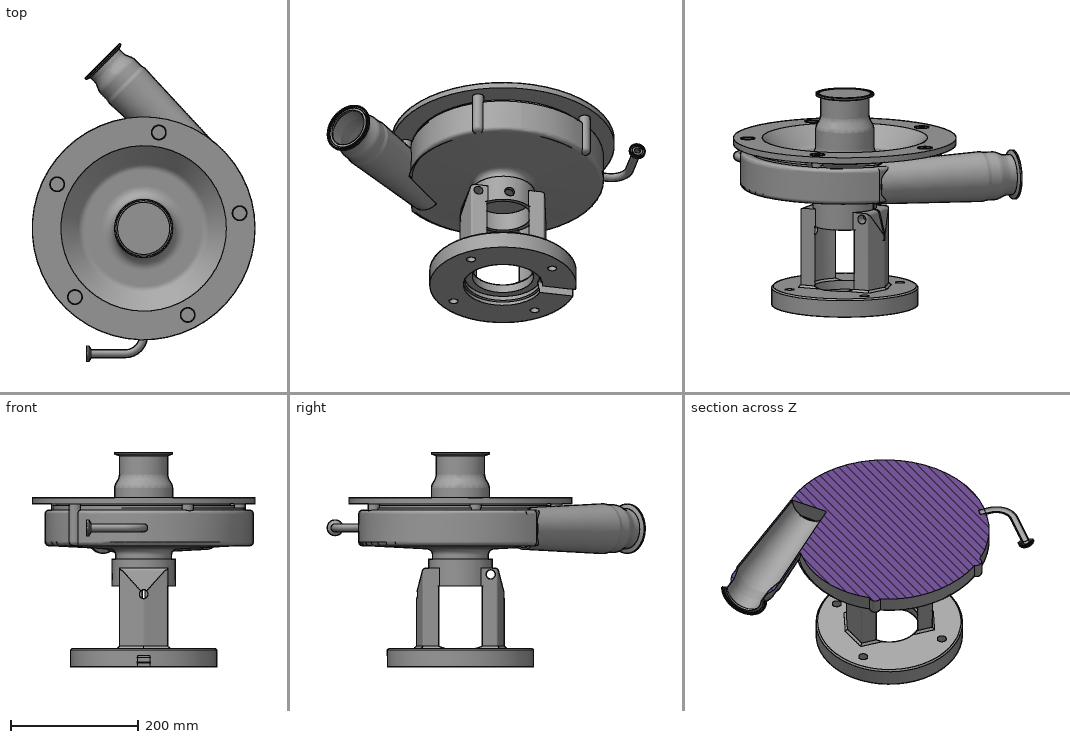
import cadquery as cq
import math


overall_height = 336.65

base_radius = 115.0
base_height = 29.0
base_edge_chamfer = 2.5
base_bore_radius = 48.0
register_radius = 60.0
register_depth = 15.0
entry_radius = 62.0
entry_depth = 5.9
entry_taper = 2.0
base_hole_radius = 7.0
base_hole_circle = 92.0
notch_width = 20.0
notch_height = 18.0
notch_corner = 2.5

leg_half_width = 38.0
leg_shoulder_y = 58.5
leg_ridge_y = 69.3
leg_inner_radius = 51.0
leg_top = 155.0
leg_slope_start = 114.0
leg_slope_top_y = 58.8
leg_side_fillet = 3.0
leg_ridge_fillet = 8.0
leg_top_fillet = 6.5
foot_flare = 3.5
leg_hole_radius = 6.8
leg_hole_z = 114.0

hub_radius = 50.0
hub_bottom = 126.8
hub_top = 169.0
neck_radius = 44.0
spigot_length = 12.0
set_hole_radius = 7.7
set_hole_z = 141.6
clamp_hole_radius = 7.0
clamp_hole_y = 47.5
clamp_hole_z = 145.0
clamp_slit_width = 4.0

drum_radius = 163.5
drum_center = (8.9, 3.8)
drum_left_radius = 143.7
tongue_x = 20.0
drum_bottom = 190.0
drum_top = 246.0
drum_pad_inset = 15.0
drum_pad_top = 249.0
drum_edge_fillet = 6.0
belly_rim_radius = 148.0
belly_radius = 53.0
belly_z = 185.0
neck_straight_top = 175.0

plate_radius = 349.95 / 2
plate_top = 265.5
plate_thickness = 9.7
collar_radius = 142.5
collar_top = 253.3
collar_neck_radius = 136.0

dish_rim_radius = 129.8
dish_floor_z = 233.0
dish_cone_end_radius = 101.6
dish_floor_outer_radius = 91.5
dish_floor_inner_radius = 65.8

bolt_count = 5
bolt_circle = 152.4
first_bolt_angle = 9.0
boss_radius = 9.0
recess_radius = 10.7
recess_depth = 3.0
recess_chamfer = 0.9

inlet_large_radius = 45.7
inlet_tube_radius = 38.1
inlet_ferrule_radius = 45.5
inlet_taper_start = 280.3
inlet_taper_end = 301.4

outlet_offset = 140.0
outlet_z = 216.8
outlet_cone_start_radius = 32.5
outlet_cone_end_radius = 39.3
outlet_cone_length = 176.3
outlet_weld_end = 182.3
outlet_large_radius = 37.8
outlet_tube_radius = 31.75
outlet_ferrule_radius = 38.75
outlet_taper_start = 197.3
outlet_taper_end = 217.0
outlet_end = 231.7
outlet_tube_wall = 1.65
outlet_cone_wall = 3.0
outlet_bore_taper_start = 177.5
outlet_bore_taper_end = 204.5

ferrule_rim = 2.85
ferrule_back = 2.6
gasket_groove_inset = 2.0
gasket_groove_width = 2.6
gasket_groove_depth = 1.2

drain_z = 218.2
drain_y = -196.7
drain_end_x = -89.8
drain_bend_radius = 29.0
drain_root_y = -150.0
drain_pipe_radius = 6.35
drain_bore_radius = 4.7
drain_ferrule_radius = 12.5
drain_ferrule_rim = 4.0
drain_ferrule_back = 3.5
drain_groove_radius = 9.5

margin = 1.0


def cylinder(radius, z_low, z_high, center=(0, 0)):
    start = cq.Workplane("XY", origin=(center[0], center[1], z_low))
    return start.circle(radius).extrude(z_high - z_low)


def ring(plane, inner, outer, low, high):
    """Ring about the plane's local Y axis, between two stations on that axis."""
    outline = cq.Workplane(plane).moveTo(inner, low).lineTo(outer, low).lineTo(outer, high).lineTo(inner, high)
    return outline.close().revolve(360, (0, 0), (0, 1))


def spin(outline):
    """Closes a half outline and turns it about its local Y axis."""
    return outline.close().revolve(360, (0, 0), (0, 1))


def reducer_outline(outline, large, tube, taper_start, taper_end):
    """Continues an outline up a large pipe and through a smooth taper into a tube."""
    outline = outline.lineTo(large, taper_start)
    return outline.spline([(tube, taper_end)], tangents=[(0, 1), (0, 1)], includeCurrent=True)


def ferrule_outline(outline, tube, flange, end):
    """Continues an outline up a tube, around a clamp ferrule and in to the axis."""
    rim_start = end - ferrule_rim
    outline = outline.lineTo(tube, rim_start - ferrule_back)
    return outline.lineTo(flange, rim_start).lineTo(flange, end).lineTo(0, end)


def gasket_groove(plane, flange, end):
    groove_outer = flange - gasket_groove_inset
    groove_inner = groove_outer - gasket_groove_width
    return ring(plane, groove_inner, groove_outer, end - gasket_groove_depth, end + margin)


pump_plane = cq.Plane(origin=(0, 0, 0), xDir=(1, 0, 0), normal=(0, -1, 0))


def make_base():
    base = cylinder(base_radius, 0, base_height).faces(">Z").edges().chamfer(base_edge_chamfer)
    base = base.cut(cylinder(base_bore_radius, -margin, base_height + margin))
    register = spin(
        cq.Workplane(pump_plane)
        .lineTo(entry_radius, 0)
        .lineTo(entry_radius, entry_depth)
        .lineTo(register_radius, entry_depth + entry_taper)
        .lineTo(register_radius, register_depth)
        .lineTo(0, register_depth)
    )
    base = base.cut(register)
    hole_pitch = base_hole_circle / math.sqrt(2)
    holes = cq.Workplane("XY").rect(2 * hole_pitch, 2 * hole_pitch, forConstruction=True).vertices()
    base = base.cut(holes.circle(base_hole_radius).extrude(base_height))
    notch = cq.Workplane("XY").box(notch_width, base_radius, 2 * notch_height)
    notch = notch.edges("|Y and >Z").fillet(notch_corner)
    return base.cut(notch.translate((0, -base_radius, 0)))


def leg_outline(z):
    return (
        cq.Workplane("XY", origin=(0, 0, z))
        .moveTo(-leg_half_width, 0)
        .lineTo(leg_half_width, 0)
        .lineTo(leg_half_width, leg_shoulder_y)
        .lineTo(0, leg_ridge_y)
        .lineTo(-leg_half_width, leg_shoulder_y)
        .close()
    )


def make_leg():
    """Leg on the +Y side: a blunt ridge outside, sloped back to its top edge."""
    post = leg_outline(base_height).extrude(leg_top - base_height)
    post = post.edges("|Z and >Y").fillet(leg_ridge_fillet)
    post = post.edges("|Z and (>X or <X)").fillet(leg_side_fillet)
    side = (
        cq.Workplane("YZ", origin=(-leg_half_width, 0, 0))
        .moveTo(0, base_height)
        .lineTo(leg_ridge_y, base_height)
        .lineTo(leg_ridge_y, leg_slope_start)
        .lineTo(leg_slope_top_y, leg_top)
        .lineTo(0, leg_top)
        .close()
        .extrude(2 * leg_half_width)
        .edges("|X and >Z")
        .edges(">Y")
        .fillet(leg_top_fillet)
    )
    foot = (
        leg_outline(base_height)
        .offset2D(foot_flare, "intersection")
        .extrude(foot_flare, taper=45)
    )
    leg = post.intersect(side).union(foot)
    inside = spin(
        cq.Workplane(pump_plane)
        .moveTo(0, base_height)
        .lineTo(base_bore_radius, base_height)
        .lineTo(leg_inner_radius, base_height + foot_flare)
        .lineTo(leg_inner_radius, hub_bottom)
        .lineTo(0, hub_bottom)
    )
    leg = leg.cut(inside)
    return leg.cut(cq.Workplane("XZ").rect(4 * leg_half_width, 4 * leg_top).extrude(leg_ridge_y))


def make_pedestal():
    pedestal = make_base().union(cylinder(hub_radius, hub_bottom, hub_top))
    leg = make_leg()
    for angle in (0, 180):
        pedestal = pedestal.union(leg.rotate((0, 0, 0), (0, 0, 1), angle))
    pedestal = pedestal.cut(cylinder(neck_radius, base_height, hub_top + margin))

    ridge_hole = cq.Workplane("XZ").center(0, leg_hole_z).circle(leg_hole_radius).extrude(base_radius)
    slit_bottom = leg_hole_z - leg_hole_radius
    slit_height = hub_top + margin - slit_bottom
    slit = cq.Workplane("XY", origin=(0, 0, slit_bottom)).rect(clamp_slit_width, base_radius)
    slit = slit.extrude(slit_height).translate((0, base_radius / 2, 0))
    clamp_hole = cq.Workplane("YZ").center(clamp_hole_y, clamp_hole_z).circle(clamp_hole_radius)
    clamp_hole = clamp_hole.extrude(base_radius, both=True)
    set_hole = cq.Workplane("YZ").center(0, set_hole_z).circle(set_hole_radius).extrude(-base_radius)
    return pedestal.cut(ridge_hole).cut(slit).cut(clamp_hole).cut(set_hole)


def drum_outline(z):
    """Volute outline: a wide arc up to the outlet side, and a tighter arc back to the tongue."""
    center_x, center_y = drum_center
    diagonal = drum_radius * math.sqrt(0.5)
    left = (center_x - drum_radius, center_y)
    outlet_side = (center_x + diagonal, center_y + diagonal)
    wide_middle = (center_x + diagonal, center_y - diagonal)

    left_center_x = left[0] + drum_left_radius
    tongue_angle = math.acos((tongue_x - left_center_x) / drum_left_radius)
    tongue = (tongue_x, center_y + drum_left_radius * math.sin(tongue_angle))
    middle_angle = (tongue_angle + math.pi) / 2
    tight_middle = (
        left_center_x + drum_left_radius * math.cos(middle_angle),
        center_y + drum_left_radius * math.sin(middle_angle),
    )
    return (
        cq.Workplane("XY", origin=(0, 0, z))
        .moveTo(*left)
        .threePointArc(wide_middle, outlet_side)
        .lineTo(*tongue)
        .threePointArc(tight_middle, left)
        .close()
    )


def make_drum():
    drum = drum_outline(drum_bottom).extrude(drum_top - drum_bottom)
    drum = drum.faces("<Z or >Z").edges().fillet(drum_edge_fillet)
    pad = drum_outline(drum_top - margin).offset2D(-drum_pad_inset)
    drum = drum.union(pad.extrude(drum_pad_top - drum_top + margin))
    flare = belly_radius - neck_radius
    flare_middle = (
        belly_radius - flare * math.cos(math.pi / 4),
        belly_z - (belly_z - neck_straight_top) * (1 - math.sin(math.pi / 4)),
    )
    belly = spin(
        cq.Workplane(pump_plane)
        .moveTo(0, hub_top - spigot_length)
        .lineTo(neck_radius, hub_top - spigot_length)
        .lineTo(neck_radius, neck_straight_top)
        .threePointArc(flare_middle, (belly_radius, belly_z))
        .lineTo(belly_rim_radius, drum_bottom)
        .lineTo(belly_rim_radius, drum_bottom + margin)
        .lineTo(0, drum_bottom + margin)
    )
    return drum.union(belly)


def make_cover():
    """Round plate on a collar, with a bolt boss below each shallow recess."""
    plate_bottom = plate_top - plate_thickness
    cover = cylinder(plate_radius, plate_bottom, plate_top)
    cover = cover.union(cylinder(collar_radius, drum_top - margin, collar_top))
    cover = cover.union(cylinder(collar_neck_radius, collar_top - margin, plate_bottom))
    for index in range(bolt_count):
        angle = math.radians(first_bolt_angle + index * 360 / bolt_count)
        place = (bolt_circle * math.cos(angle), bolt_circle * math.sin(angle))
        recess = cylinder(recess_radius, plate_top - recess_depth, plate_top, place)
        rim = cylinder(recess_radius + recess_chamfer, plate_top - recess_chamfer, plate_top, place)
        rim = rim.faces("<Z").edges().chamfer(recess_chamfer * 0.99)
        boss = cylinder(boss_radius, drum_bottom, plate_bottom, place)
        cover = cover.union(boss.faces("<Z").edges().fillet(drum_edge_fillet))
        cover = cover.cut(recess).cut(rim)
    return cover


def dish_cavity():
    """Bowl sunk into the plate around the inlet, rounded into its floor and the inlet."""
    cone_end_z = plate_top - (dish_rim_radius - dish_cone_end_radius)
    inner_fillet = dish_floor_inner_radius - inlet_large_radius
    fillet_top = dish_floor_z + inner_fillet
    diagonal = inner_fillet * math.sqrt(0.5)
    fillet_middle = (dish_floor_inner_radius - diagonal, fillet_top - diagonal)
    return spin(
        cq.Workplane(pump_plane)
        .moveTo(inlet_large_radius, plate_top)
        .lineTo(inlet_large_radius, fillet_top)
        .threePointArc(fillet_middle, (dish_floor_inner_radius, dish_floor_z))
        .lineTo(dish_floor_outer_radius, dish_floor_z)
        .tangentArcPoint((dish_cone_end_radius, cone_end_z), relative=False)
        .lineTo(dish_rim_radius, plate_top)
    )


def make_inlet():
    outline = cq.Workplane(pump_plane).moveTo(0, dish_floor_z)
    outline = outline.lineTo(inlet_large_radius, dish_floor_z)
    outline = reducer_outline(
        outline, inlet_large_radius, inlet_tube_radius, inlet_taper_start, inlet_taper_end
    )
    outline = ferrule_outline(outline, inlet_tube_radius, inlet_ferrule_radius, overall_height)
    return spin(outline).cut(gasket_groove(pump_plane, inlet_ferrule_radius, overall_height))


outlet_reach = outlet_offset / math.sqrt(2)
outlet_plane = cq.Plane(origin=(outlet_reach, outlet_reach, outlet_z), xDir=(0, 0, 1), normal=(-1, -1, 0))


def make_outlet():
    outline = (
        cq.Workplane(outlet_plane)
        .lineTo(outlet_cone_start_radius, 0)
        .lineTo(outlet_cone_end_radius, outlet_cone_length)
        .lineTo(outlet_large_radius, outlet_weld_end)
    )
    outline = reducer_outline(
        outline, outlet_large_radius, outlet_tube_radius, outlet_taper_start, outlet_taper_end
    )
    outline = ferrule_outline(outline, outlet_tube_radius, outlet_ferrule_radius, outlet_end)
    return spin(outline).cut(gasket_groove(outlet_plane, outlet_ferrule_radius, outlet_end))


def outlet_bore():
    tube = outlet_tube_radius - outlet_tube_wall
    outline = (
        cq.Workplane(outlet_plane)
        .lineTo(outlet_cone_start_radius - outlet_cone_wall, 0)
        .lineTo(outlet_large_radius - outlet_tube_wall, outlet_bore_taper_start)
        .lineTo(tube, outlet_bore_taper_end)
    )
    return spin(outline.lineTo(tube, outlet_end + margin).lineTo(0, outlet_end + margin))


def drain_run(radius):
    """Round bar along the drain: out of the drum, around a bend and along -X."""
    bend_shift = drain_bend_radius * (1 - math.sqrt(0.5))
    path = (
        cq.Workplane("XY", origin=(0, 0, drain_z))
        .moveTo(drain_end_x, drain_y)
        .lineTo(-drain_bend_radius, drain_y)
        .threePointArc((-bend_shift, drain_y + bend_shift), (0, drain_y + drain_bend_radius))
        .lineTo(0, drain_root_y)
    )
    section = cq.Workplane("YZ", origin=(drain_end_x, 0, 0)).center(drain_y, drain_z).circle(radius)
    return section.sweep(path)


def make_drain():
    drain_plane = cq.Plane(origin=(drain_end_x, drain_y, drain_z), xDir=(0, 1, 0), normal=(0, 0, -1))
    ferrule = spin(
        cq.Workplane(drain_plane)
        .lineTo(drain_ferrule_radius, 0)
        .lineTo(drain_ferrule_radius, drain_ferrule_rim)
        .lineTo(drain_pipe_radius, drain_ferrule_rim + drain_ferrule_back)
        .lineTo(0, drain_ferrule_rim + drain_ferrule_back)
    )
    groove_inner = drain_groove_radius - gasket_groove_width / 2
    groove = ring(drain_plane, groove_inner, groove_inner + gasket_groove_width, -margin, gasket_groove_depth)
    return drain_run(drain_pipe_radius).union(ferrule).cut(groove)


def make_housing():
    housing = make_drum().union(make_cover()).union(make_outlet()).cut(dish_cavity())
    housing = housing.union(make_inlet()).union(make_drain())
    return housing.cut(outlet_bore()).cut(drain_run(drain_bore_radius))


pedestal = make_pedestal()
housing = make_housing()

result = cq.Compound.makeCompound([pedestal.val(), housing.val()])